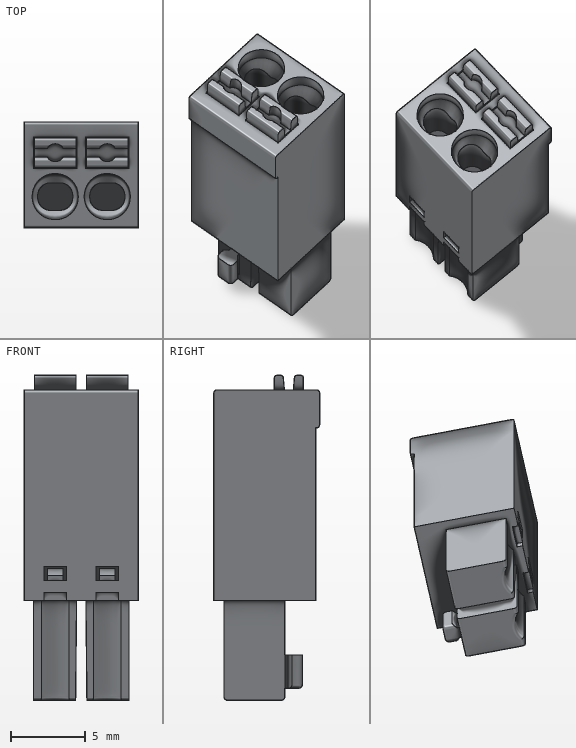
import cadquery as cq
import math

HEIGHT = 21.9
WIDTH = 7.7
DEPTH = 7.15
PITCH = 3.5
POLE_CENTERS = (-PITCH / 2, PITCH / 2)

FRONT_Y = -DEPTH / 2
BACK_Y = DEPTH / 2
BUTTON_RISE = 0.99
HOUSING_TOP = HEIGHT - BUTTON_RISE
HOUSING_BOTTOM = 6.72
LIP_OVERHANG = 0.26
LIP_HEIGHT = 2.56
HOUSING_EDGE_RADIUS = 0.22

ENTRY_Y = -1.47
MOUTH_DIAMETER = 3.1
MOUTH_DEPTH = 0.92
FUNNEL_HALF_ANGLE = 32
CHANNEL_WIDTH = 2.37
CHANNEL_LENGTH = 1.86
CHANNEL_CORNER_RADIUS = 0.88
CHANNEL_DEPTH = 4.38
FUNNEL_DEPTH = (MOUTH_DIAMETER - CHANNEL_LENGTH) / 2 / math.tan(math.radians(FUNNEL_HALF_ANGLE))

BUTTON_Y = 1.5
BUTTON_WIDTH = 2.8
BUTTON_LENGTH = 1.97
BUTTON_GAP = 0.07
BUTTON_GAP_DEPTH = 0.44
SLOT_TOP_WIDTH = 0.77
SLOT_BOTTOM_WIDTH = 0.6
GUIDE_DIAMETER = 1.2
FINGER_EDGE_RADIUS = 0.2

PRONG_FRONT_Y = -2.9
PRONG_BACK_Y = 1.23
PRONG_OUTER_X = 3.22
PRONG_INNER_X_TOP = 0.3
PRONG_INNER_X_BOTTOM = 0.37
PRONG_EDGE_RADIUS = 0.26
GROOVE_WIDTH = 1.85
GROOVE_DEPTH = 0.35

RIB_BOTTOM = 0.8
RIB_TOP = 3.07
RIB_X = PITCH / 2
RIB_HEAD_WIDTH = 1.31
RIB_HEAD_BACK_Y = 2.4
RIB_HEAD_FRONT_Y = 1.42
RIB_EDGE_RADIUS = 0.28

WINDOW_WIDTH = 1.51
WINDOW_BOTTOM = 8.05
WINDOW_TOP = 9.02
CATCH_WIDTH = 1.03
CATCH_SETBACK = 0.26
CATCH_FACE_HEIGHT = 0.35
CATCH_SLOPE = 0.48
WINDOW_DEPTH = CATCH_SETBACK + CATCH_SLOPE
NOTCH_HEIGHT = 0.55
NOTCH_DEPTH = 0.4


def box(x_range, y_range, z_range):
    """Axis-aligned block spanning the given (low, high) ranges."""
    sizes = [high - low for low, high in (x_range, y_range, z_range)]
    corner = (x_range[0], y_range[0], z_range[0])
    return cq.Workplane("XY").box(*sizes, centered=False).translate(corner)


def centered_range(center, width):
    return (center - width / 2, center + width / 2)


def extrude_profile_along_x(points, x_center, width):
    """Extrude a closed (y, z) profile symmetrically about x_center."""
    profile = cq.Workplane("YZ").polyline(points).close()
    return profile.extrude(width / 2, both=True).translate((x_center, 0, 0))


def make_housing():
    """Main block with an overhanging lip along the top of the back face."""
    wall_back_y = BACK_Y - LIP_OVERHANG
    lip_bottom = HOUSING_TOP - LIP_HEIGHT
    points = [
        (FRONT_Y, HOUSING_BOTTOM),
        (wall_back_y, HOUSING_BOTTOM),
        (wall_back_y, lip_bottom),
        (BACK_Y, lip_bottom),
        (BACK_Y, HOUSING_TOP),
        (FRONT_Y, HOUSING_TOP),
    ]
    housing = extrude_profile_along_x(points, 0, WIDTH)
    rounded_edges = housing.edges("|X and (>Z or >Y)")
    return rounded_edges.fillet(HOUSING_EDGE_RADIUS)


def make_wire_entry(x):
    """Tool body for the round mouth, its funnel and the channel below."""
    mouth_floor = HOUSING_TOP - MOUTH_DEPTH
    mouth = (
        cq.Workplane("XY", origin=(x, ENTRY_Y, mouth_floor))
        .circle(MOUTH_DIAMETER / 2)
        .extrude(MOUTH_DEPTH)
    )
    funnel = (
        cq.Workplane("XY", origin=(x, ENTRY_Y, mouth_floor))
        .circle(MOUTH_DIAMETER / 2)
        .extrude(-FUNNEL_DEPTH, taper=FUNNEL_HALF_ANGLE)
    )
    channel = (
        cq.Workplane("XY", origin=(x, ENTRY_Y, mouth_floor))
        .rect(CHANNEL_WIDTH, CHANNEL_LENGTH)
        .extrude(-CHANNEL_DEPTH)
        .edges("|Z")
        .fillet(CHANNEL_CORNER_RADIUS)
    )
    return mouth.union(funnel).union(channel)


def make_button_recess(x):
    """Tool body for the narrow gap around a button."""
    return box(
        centered_range(x, BUTTON_WIDTH + 2 * BUTTON_GAP),
        centered_range(BUTTON_Y, BUTTON_LENGTH + 2 * BUTTON_GAP),
        (HOUSING_TOP - BUTTON_GAP_DEPTH, HOUSING_TOP),
    )


def make_button(x):
    """Button block split above the housing top into two rounded fingers."""
    block = box(
        centered_range(x, BUTTON_WIDTH),
        centered_range(BUTTON_Y, BUTTON_LENGTH),
        (HOUSING_TOP - BUTTON_GAP_DEPTH, HEIGHT),
    )
    slot_points = [
        (BUTTON_Y - SLOT_BOTTOM_WIDTH / 2, HOUSING_TOP),
        (BUTTON_Y + SLOT_BOTTOM_WIDTH / 2, HOUSING_TOP),
        (BUTTON_Y + SLOT_TOP_WIDTH / 2, HEIGHT),
        (BUTTON_Y - SLOT_TOP_WIDTH / 2, HEIGHT),
    ]
    slot = extrude_profile_along_x(slot_points, x, BUTTON_WIDTH)
    guide = (
        cq.Workplane("XY", origin=(x, BUTTON_Y, HOUSING_TOP))
        .circle(GUIDE_DIAMETER / 2)
        .extrude(BUTTON_RISE)
    )
    fingers = block.cut(slot).edges("|X and >Z").fillet(FINGER_EDGE_RADIUS)
    return fingers.cut(guide)


def make_prong(side):
    """Prong on the given side (-1 or +1): drafted inner face, grooved front."""
    outline = (
        cq.Workplane("XZ", origin=(0, PRONG_BACK_Y, 0))
        .moveTo(side * PRONG_OUTER_X, 0)
        .lineTo(side * PRONG_OUTER_X, HOUSING_BOTTOM)
        .lineTo(side * PRONG_INNER_X_TOP, HOUSING_BOTTOM)
        .lineTo(side * PRONG_INNER_X_BOTTOM, 0)
        .close()
    )
    prong = outline.extrude(PRONG_BACK_Y - PRONG_FRONT_Y)

    x = side * PITCH / 2
    groove = (
        cq.Workplane("XY")
        .moveTo(x - GROOVE_WIDTH / 2, PRONG_FRONT_Y)
        .threePointArc((x, PRONG_FRONT_Y + GROOVE_DEPTH), (x + GROOVE_WIDTH / 2, PRONG_FRONT_Y))
        .close()
        .extrude(HOUSING_BOTTOM)
    )
    prong = prong.cut(groove)
    return prong.faces("<Z").edges("not(|Y)").fillet(PRONG_EDGE_RADIUS)


def make_coding_rib():
    """Dovetail rib: rounded head and lower end, square at its upper end."""
    head = box(
        centered_range(RIB_X, RIB_HEAD_WIDTH),
        (RIB_HEAD_FRONT_Y, RIB_HEAD_BACK_Y),
        (RIB_BOTTOM, RIB_TOP),
    )
    head = head.edges("|Z and >Y").fillet(RIB_EDGE_RADIUS)
    head = head.faces("<Z").edges("not <Y").fillet(RIB_EDGE_RADIUS)

    half_head = RIB_HEAD_WIDTH / 2
    half_neck = half_head - RIB_EDGE_RADIUS
    dovetail_y = RIB_HEAD_FRONT_Y + RIB_EDGE_RADIUS
    profile = (
        cq.Workplane("XY", origin=(RIB_X, 0, RIB_BOTTOM))
        .polyline(
            [
                (-half_neck, RIB_HEAD_FRONT_Y),
                (half_neck, RIB_HEAD_FRONT_Y),
                (half_head, dovetail_y),
                (half_head, RIB_HEAD_BACK_Y),
                (-half_head, RIB_HEAD_BACK_Y),
                (-half_head, dovetail_y),
            ]
        )
        .close()
        .extrude(RIB_TOP - RIB_BOTTOM)
    )
    neck = box(
        centered_range(RIB_X, 2 * half_neck),
        (PRONG_BACK_Y, RIB_HEAD_FRONT_Y),
        (RIB_BOTTOM, RIB_TOP),
    )
    return head.intersect(profile).union(neck)


def make_window(x):
    """Tool body for a front window that leaves a sloped catch inside."""
    opening = box(
        centered_range(x, WINDOW_WIDTH),
        (FRONT_Y, FRONT_Y + WINDOW_DEPTH),
        (WINDOW_BOTTOM, WINDOW_TOP),
    )
    catch_front_y = FRONT_Y + CATCH_SETBACK
    catch_face_top = WINDOW_BOTTOM + CATCH_FACE_HEIGHT
    catch_points = [
        (catch_front_y, WINDOW_BOTTOM),
        (catch_front_y, catch_face_top),
        (catch_front_y + CATCH_SLOPE, catch_face_top + CATCH_SLOPE),
        (catch_front_y + CATCH_SLOPE, WINDOW_BOTTOM),
    ]
    catch = extrude_profile_along_x(catch_points, x, CATCH_WIDTH)
    return opening.cut(catch)


def make_notch(x):
    """Tool body for the notch in the lower front edge of the housing."""
    return box(
        centered_range(x, WINDOW_WIDTH),
        (FRONT_Y, FRONT_Y + NOTCH_DEPTH),
        (HOUSING_BOTTOM, HOUSING_BOTTOM + NOTCH_HEIGHT),
    )


result = make_housing()
for pole_x in POLE_CENTERS:
    for make_cutter in (make_wire_entry, make_button_recess, make_window, make_notch):
        result = result.cut(make_cutter(pole_x))
    result = result.union(make_button(pole_x))
for prong_side in (-1, 1):
    result = result.union(make_prong(prong_side))
result = result.union(make_coding_rib())